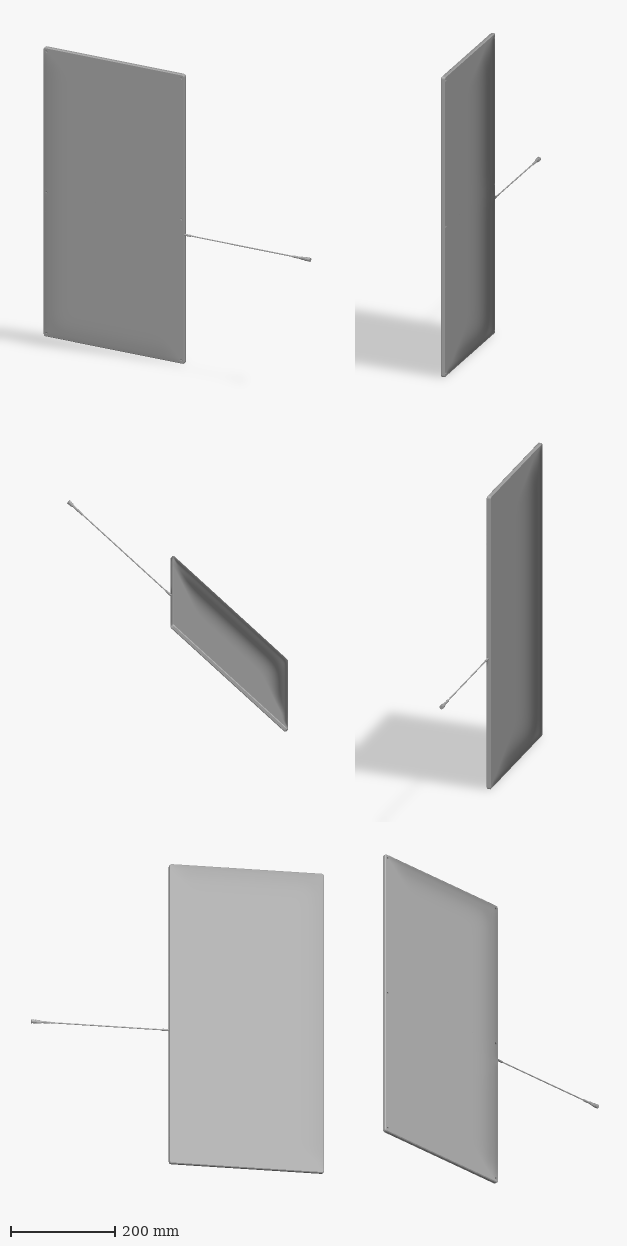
import cadquery as cq

panel_width = 303.0
panel_height = 604.0
panel_thickness = 8.5
corner_radius = 5.0
edge_chamfer = 1.5

hole_diameter = 4.0
hole_depth = 4.0
hole_inset_x = 6.5
hole_inset_z = 8.0

total_length = 572.5
total_depth = 9.5
cable_z = -32.0
cable_diameter = 2.5
sleeve_diameter = 4.0
panel_sleeve_length = 12.5
plug_sleeve_length = 17.5
plug_body_length = 9.5
plug_body_depth = 4.0
plug_body_height = 6.5
nut_diameter = 8.0
nut_length = 10.0
nut_collar_length = 3.0
groove_count = 2
groove_depth = 0.5
joint_overlap = 1.0

panel_right = panel_width / 2
panel_front = -panel_thickness / 2
panel_back = panel_thickness / 2
cable_end = total_length - panel_right
cable_root = panel_right - joint_overlap
cable_y = panel_back - total_depth + nut_diameter / 2
nut_start = cable_end - nut_length
plug_body_start = nut_start - plug_body_length
plug_sleeve_start = plug_body_start - plug_sleeve_length


def make_panel():
    plate = cq.Workplane("XY").box(panel_width, panel_thickness, panel_height)
    plate = plate.edges("|Y").fillet(corner_radius)
    plate = plate.faces("<Y or >Y").chamfer(edge_chamfer)
    hole_x = panel_right - hole_inset_x
    hole_z = panel_height / 2 - hole_inset_z
    places = [(x, z) for x in (-hole_x, hole_x) for z in (-hole_z, 0, hole_z)]
    holes = (
        cq.Workplane("XZ", origin=(0, panel_front + hole_depth, 0))
        .pushPoints(places)
        .circle(hole_diameter / 2)
        .extrude(hole_depth)
    )
    return plate.cut(holes)


def cable_section(start_x):
    """Plane across the cable axis at an X position."""
    return cq.Workplane("YZ", origin=(start_x, cable_y, cable_z))


def round_bar(start_x, end_x, diameter):
    return cable_section(start_x).circle(diameter / 2).extrude(end_x - start_x)


def make_cable():
    """Thin cable with a thicker sleeve at both ends."""
    cable = round_bar(cable_root, nut_start, cable_diameter)
    panel_sleeve = round_bar(cable_root, panel_right + panel_sleeve_length, sleeve_diameter)
    plug_sleeve = round_bar(plug_sleeve_start, plug_body_start, sleeve_diameter)
    return cable.union(panel_sleeve).union(plug_sleeve)


def make_plug():
    """Oval body followed by a round nut with a smooth collar and evenly spaced grooves."""
    body = (
        cable_section(plug_body_start)
        .ellipse(plug_body_depth / 2, plug_body_height / 2)
        .extrude(plug_body_length)
    )
    nut = round_bar(nut_start, cable_end, nut_diameter)
    pitch = (nut_length - nut_collar_length) / (2 * groove_count)
    for index in range(groove_count):
        groove_start = nut_start + nut_collar_length + 2 * index * pitch
        groove = (
            cable_section(groove_start)
            .circle(nut_diameter / 2)
            .circle(nut_diameter / 2 - groove_depth)
            .extrude(pitch)
        )
        nut = nut.cut(groove)
    return body.union(nut)


result = make_panel().union(make_cable()).union(make_plug())